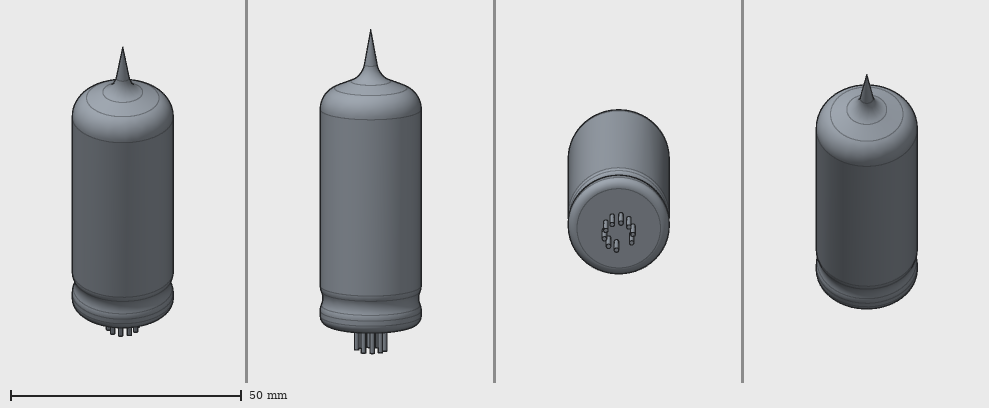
import cadquery as cq
import math

TOTAL_HEIGHT = 71.1
BODY_RADIUS = 22.0 / 2
BASE_Z = 5.75
BASE_FILLET = 1.9

WAIST_Z = 11.6
WAIST_HALF_HEIGHT = 2.8
WAIST_DEPTH = 0.6
WAIST_ARC_HALF_HEIGHT = 1.55

SHOULDER_Z = 53.5
SHOULDER_ARC = 5.1
CONE_ANGLE = math.radians(23)
CONE_END_RADIUS = 4.35
TIP_BASE_RADIUS = 1.4
TIP_LENGTH = 7.8

PIN_DIAMETER = 1.0
PIN_CIRCLE_RADIUS = 3.1
PIN_POSITIONS = 10


def arc_point(center, radius, angle):
    """Point on a circle in the (radius, height) half plane."""
    return (center[0] + radius * math.cos(angle), center[1] + radius * math.sin(angle))


def make_envelope():
    waist_angle = 2 * math.atan(WAIST_DEPTH / WAIST_HALF_HEIGHT)
    waist_arc = WAIST_ARC_HALF_HEIGHT / math.sin(waist_angle)
    blend_arc = (WAIST_HALF_HEIGHT - WAIST_ARC_HALF_HEIGHT) / math.sin(waist_angle)
    waist_bottom = WAIST_Z - WAIST_HALF_HEIGHT
    waist_top = WAIST_Z + WAIST_HALF_HEIGHT
    waist_radius = BODY_RADIUS - WAIST_DEPTH
    lower_blend = (BODY_RADIUS - blend_arc, waist_bottom)
    upper_blend = (BODY_RADIUS - blend_arc, waist_top)

    base_corner = (BODY_RADIUS - BASE_FILLET, BASE_Z + BASE_FILLET)
    shoulder = (BODY_RADIUS - SHOULDER_ARC, SHOULDER_Z)
    shoulder_sweep = math.pi / 2 - CONE_ANGLE
    shoulder_end = arc_point(shoulder, SHOULDER_ARC, shoulder_sweep)

    cone_rise = (shoulder_end[0] - CONE_END_RADIUS) * math.tan(CONE_ANGLE)
    cone_end = (CONE_END_RADIUS, shoulder_end[1] + cone_rise)
    tip_base = (TIP_BASE_RADIUS, TOTAL_HEIGHT - TIP_LENGTH)

    return (
        cq.Workplane("XZ")
        .moveTo(0, BASE_Z)
        .lineTo(base_corner[0], BASE_Z)
        .threePointArc(
            arc_point(base_corner, BASE_FILLET, -math.pi / 4),
            (BODY_RADIUS, base_corner[1]),
        )
        .lineTo(BODY_RADIUS, waist_bottom)
        .threePointArc(
            arc_point(lower_blend, blend_arc, waist_angle / 2),
            arc_point(lower_blend, blend_arc, waist_angle),
        )
        .threePointArc(
            (waist_radius, WAIST_Z),
            arc_point((waist_radius + waist_arc, WAIST_Z), waist_arc, math.pi - waist_angle),
        )
        .threePointArc(
            arc_point(upper_blend, blend_arc, -waist_angle / 2),
            (BODY_RADIUS, waist_top),
        )
        .lineTo(BODY_RADIUS, SHOULDER_Z)
        .threePointArc(arc_point(shoulder, SHOULDER_ARC, shoulder_sweep / 2), shoulder_end)
        .lineTo(*cone_end)
        .tangentArcPoint(tip_base, relative=False)
        .lineTo(0, TOTAL_HEIGHT)
        .close()
        .revolve(360, (0, 0, 0), (0, 1, 0))
    )


def make_pins():
    pin_pitch = 2 * math.pi / PIN_POSITIONS
    centers = [
        arc_point((0, 0), PIN_CIRCLE_RADIUS, math.pi / 2 + i * pin_pitch)
        for i in range(1, PIN_POSITIONS)
    ]
    return cq.Workplane("XY").pushPoints(centers).circle(PIN_DIAMETER / 2).extrude(BASE_Z)


result = make_envelope().union(make_pins())